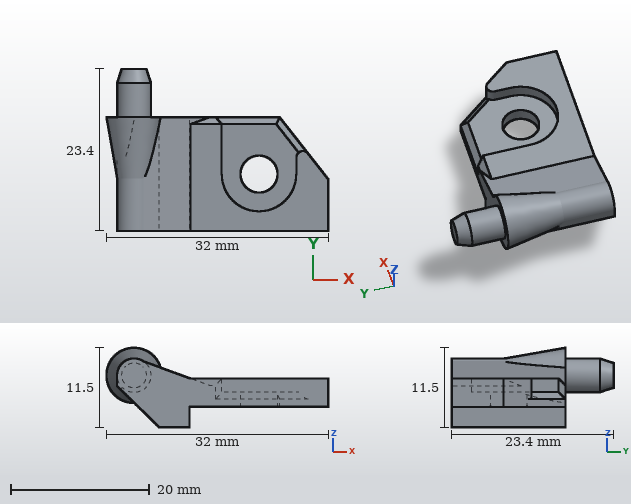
import cadquery as cq
import math

length = 32.0
depth = 16.4
plate_top = 7.05
plate_bottom = 2.95
knee_x = 12.15
heel_x = 7.6
heel_back_x = 12.0
nose_bottom = 5.95
corner_x = 25.0
corner_y = 7.5
bevel = 1.0

cone_radius = 4.0
pin_radius = 4.9 / 2
pin_x = cone_radius
pin_z = 7.5
nose_x = pin_x - pin_radius
ramp_start_x = pin_x + 1.4
ramp_start_z = pin_z + math.sqrt(pin_radius**2 - (ramp_start_x - pin_x) ** 2)
cone_start = 7.6
shoulder_y = 21.38
tip_y = 23.4
tip_radius = 1.8

hole_x = 22.0
hole_y = 8.22
hole_diameter = 5.3
pocket_radius = 5.38
pocket_floor = plate_top - 2.0
lip_radius = 0.95
flare_width = 0.85


def plate_outline():
    """Plan of the plate with its cut-off corner."""
    return (
        cq.Workplane("XY")
        .moveTo(knee_x, 0)
        .lineTo(length, 0)
        .lineTo(length, corner_y)
        .lineTo(corner_x, depth)
        .lineTo(knee_x, depth)
        .close()
    )


def plate_layer(bottom, top):
    return plate_outline().extrude(top - bottom).translate((0, 0, bottom))


def pocket_plan():
    """U-shaped region around the hole, open towards the back and the cut corner."""
    left = hole_x - pocket_radius
    right = hole_x + pocket_radius
    run_x = length - corner_x
    run_y = depth - corner_y
    edge_length = math.hypot(run_x, run_y)
    lip_x = right + lip_radius
    lip_y = depth - (run_y * (lip_x - corner_x) + lip_radius * edge_length) / run_x
    normal_x = run_y / edge_length
    normal_y = run_x / edge_length
    middle_angle = (math.pi + math.atan2(normal_y, normal_x)) / 2
    return (
        cq.Workplane("XY")
        .moveTo(left, hole_y)
        .threePointArc((hole_x, hole_y - pocket_radius), (right, hole_y))
        .lineTo(right, lip_y)
        .threePointArc(
            (lip_x + lip_radius * math.cos(middle_angle), lip_y + lip_radius * math.sin(middle_angle)),
            (lip_x + lip_radius * normal_x, lip_y + lip_radius * normal_y),
        )
        .lineTo(length, depth)
        .lineTo(left - flare_width, depth)
        .lineTo(left, depth - bevel)
        .close()
    )


def make_plate():
    base = plate_layer(plate_bottom, pocket_floor)
    base = base.faces(">Z").edges(">Y or (not(|X or |Y))").chamfer(bevel)
    rim = plate_layer(plate_bottom, plate_top)
    rim = rim.faces(">Z").edges(">Y").chamfer(bevel)
    pocket_height = plate_top - plate_bottom
    pocket = pocket_plan().extrude(pocket_height).translate((0, 0, plate_bottom))
    return rim.cut(pocket).union(base)


def make_arm():
    """Nose, ramp and heel; the ramp runs on down inside the plate, short of the pocket."""
    ramp_slope = (ramp_start_z - plate_top) / (knee_x - ramp_start_x)
    ramp_end_x = hole_x - pocket_radius - flare_width
    ramp_end_z = plate_top - ramp_slope * (ramp_end_x - knee_x)
    outline = (
        cq.Workplane("XZ")
        .moveTo(heel_x, 0)
        .lineTo(heel_back_x, 0)
        .lineTo(heel_back_x, plate_bottom)
        .lineTo(ramp_end_x, plate_bottom)
        .lineTo(ramp_end_x, ramp_end_z)
        .lineTo(ramp_start_x, ramp_start_z)
        .threePointArc(
            (pin_x - pin_radius * math.sqrt(0.5), pin_z + pin_radius * math.sqrt(0.5)),
            (nose_x, pin_z),
        )
        .lineTo(nose_x, nose_bottom)
        .close()
    )
    return outline.extrude(-depth)


def make_pin():
    """Cone, cylindrical pin and tapered tip turned about one axis."""
    half_profile = (
        cq.Workplane("XY")
        .moveTo(0, cone_start)
        .lineTo(pin_radius, cone_start)
        .lineTo(cone_radius, depth)
        .lineTo(pin_radius, depth)
        .lineTo(pin_radius, shoulder_y)
        .lineTo(tip_radius, tip_y)
        .lineTo(0, tip_y)
        .close()
    )
    return half_profile.revolve(360, (0, 0, 0), (0, 1, 0)).translate((pin_x, 0, pin_z))


hole = cq.Workplane("XY").center(hole_x, hole_y).circle(hole_diameter / 2).extrude(plate_top)
result = make_plate().union(make_arm()).union(make_pin()).cut(hole)